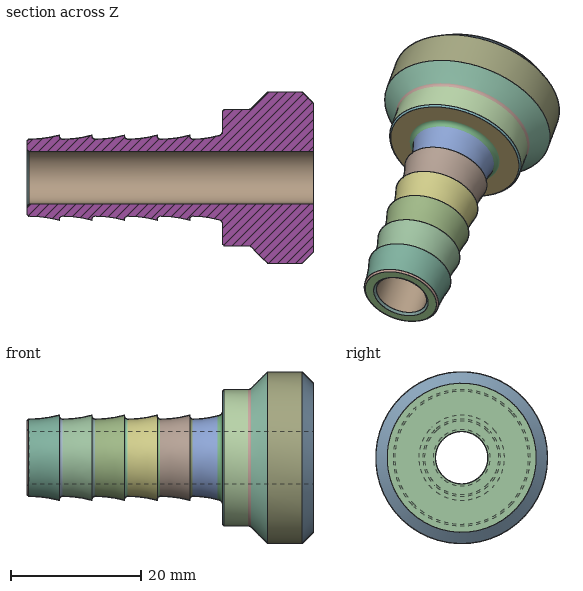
import cadquery as cq
import math

total_length = 44.0
bore_radius = 8.0 / 2
bore_chamfer = 0.35

collar_start = 30.0
barb_count = 5
barb_pitch = collar_start / (barb_count + 1)
barb_root_radius = 5.95
barb_peak_radius = 6.55
barb_fillet = 0.5
tip_chamfer = 0.25

neck_end_radius = 6.45
neck_fillet = 0.7

collar_radius = 21.0 / 2
collar_chamfer = 0.25
collar_blend = 0.65

head_radius = 13.2
head_start = 36.95
head_chamfer = 1.75


def add_flank(profile, start, end):
    """Draw a concave arc that leaves start parallel to the axis and rises to end."""
    length = end[0] - start[0]
    rise = end[1] - start[1]
    radius = (length**2 + rise**2) / (2 * rise)
    middle_rise = radius - math.sqrt(radius**2 - (length / 2) ** 2)
    middle = (start[0] + length / 2, start[1] + middle_rise)
    return profile.threePointArc(middle, end)


def add_hose_tail(profile):
    """Draw the barbs, each with a filleted step behind its peak."""
    root = (tip_chamfer, barb_root_radius)
    profile = profile.lineTo(0, barb_root_radius - tip_chamfer).lineTo(*root)
    for number in range(1, barb_count + 1):
        peak = (number * barb_pitch, barb_peak_radius)
        profile = add_flank(profile, root, peak)
        root = (peak[0] + barb_fillet, barb_root_radius)
        profile = profile.lineTo(peak[0], barb_root_radius + barb_fillet)
        profile = profile.radiusArc(root, -barb_fillet)
    return add_neck(profile, root)


def add_neck(profile, root):
    """Draw the flared neck and its fillet into the collar face."""
    neck_end = (collar_start - neck_fillet, neck_end_radius)
    profile = add_flank(profile, root, neck_end)
    return profile.radiusArc((collar_start, neck_end_radius + neck_fillet), -neck_fillet)


def add_collar_and_head(profile):
    """Draw the collar, the blend into the front cone, and the head."""
    slope = math.radians(45)
    blend_end_radius = collar_radius + collar_blend * (1 - math.cos(slope))
    blend_end_x = head_start - (head_radius - blend_end_radius)
    blend_start_x = blend_end_x - collar_blend * math.sin(slope)
    return (
        profile.lineTo(collar_start, collar_radius - collar_chamfer)
        .lineTo(collar_start + collar_chamfer, collar_radius)
        .lineTo(blend_start_x, collar_radius)
        .radiusArc((blend_end_x, blend_end_radius), -collar_blend)
        .lineTo(head_start, head_radius)
        .lineTo(total_length - head_chamfer, head_radius)
        .lineTo(total_length, head_radius - head_chamfer)
    )


profile = cq.Workplane("XY").moveTo(0, bore_radius + bore_chamfer)
profile = add_hose_tail(profile)
profile = add_collar_and_head(profile)
profile = (
    profile.lineTo(total_length, bore_radius)
    .lineTo(bore_chamfer, bore_radius)
    .close()
)

result = profile.revolve(360, (0, 0, 0), (1, 0, 0))